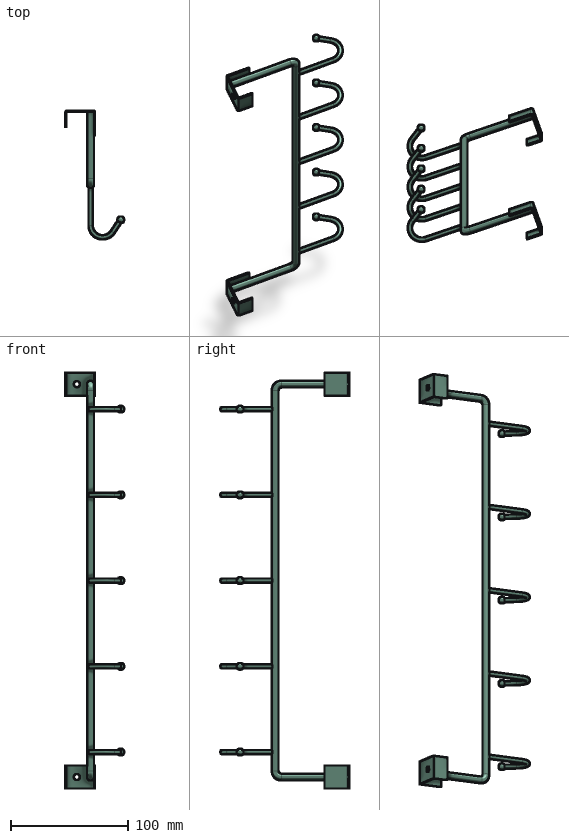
import cadquery as cq
import math

total_height = 355.0
total_depth = 110.0
total_width = 50.5

bracket_width = 25.5
bracket_height = 20.0
sheet_thickness = 1.2
outer_bend_radius = 1.8
short_flange_depth = 14.0
long_flange_depth = 21.3
flange_corner_radius = 1.0
screw_hole_diameter = 5.0
screw_hole_x = 10.0

rod_diameter = 6.0
rod_bend_radius = 5.5
rod_axis_depth = 63.2
rod_x = 21.5
bracket_z = (total_height - bracket_height) / 2

hook_count = 5
hook_pitch = 73.0
hook_diameter = 4.0
hook_bend_radius = 10.3
hook_tip_angle = math.radians(33.5)
ball_diameter = 6.0


def make_bracket():
    """U-shaped sheet bracket centred on Z = 0, with its screw hole."""
    inner_width = bracket_width - 2 * sheet_thickness
    outside = (
        cq.Workplane("XY")
        .box(bracket_width, long_flange_depth, bracket_height, centered=(False, False, True))
        .translate((0, -long_flange_depth, 0))
        .edges("|Z and >Y")
        .fillet(outer_bend_radius)
    )
    inside = (
        cq.Workplane("XY")
        .box(inner_width, long_flange_depth, bracket_height, centered=(False, False, True))
        .translate((sheet_thickness, -long_flange_depth - sheet_thickness, 0))
    )
    short_side_trim = (
        cq.Workplane("XY")
        .box(sheet_thickness, long_flange_depth, bracket_height, centered=(False, False, True))
        .translate((0, -long_flange_depth - short_flange_depth, 0))
    )
    screw_hole = (
        cq.Workplane("XZ")
        .center(screw_hole_x, 0)
        .circle(screw_hole_diameter / 2)
        .extrude(sheet_thickness)
    )
    sheet = outside.cut(inside).cut(short_side_trim)
    return (
        sheet
        .edges("|X and (not >Y)")
        .edges(cq.selectors.LengthNthSelector(0))
        .fillet(flange_corner_radius)
        .cut(screw_hole)
    )


def make_rod():
    """Main rod swept from the upper bracket to the lower one."""
    leg_end_y = -(rod_axis_depth - rod_bend_radius)
    bar_end_z = bracket_z - rod_bend_radius
    leg_start_y = -sheet_thickness / 2
    path = (
        cq.Workplane("YZ", origin=(rod_x, 0, 0))
        .moveTo(leg_start_y, bracket_z)
        .lineTo(leg_end_y, bracket_z)
        .tangentArcPoint((-rod_axis_depth, bar_end_z), relative=False)
        .lineTo(-rod_axis_depth, -bar_end_z)
        .tangentArcPoint((leg_end_y, -bracket_z), relative=False)
        .lineTo(leg_start_y, -bracket_z)
    )
    section = cq.Workplane("XZ", origin=(rod_x, leg_start_y, bracket_z)).circle(rod_diameter / 2)
    return section.sweep(path)


def make_hook():
    """One hook in the Z = 0 plane, starting on the axis of the main rod."""
    bend_x = rod_x + hook_bend_radius
    bend_y = -(total_depth - hook_diameter / 2 - hook_bend_radius)
    bend_end_x = bend_x + hook_bend_radius * math.cos(hook_tip_angle)
    bend_end_y = bend_y - hook_bend_radius * math.sin(hook_tip_angle)
    ball_x = total_width - ball_diameter / 2
    ball_y = bend_end_y + (ball_x - bend_end_x) / math.tan(hook_tip_angle)
    path = (
        cq.Workplane("XY")
        .moveTo(rod_x, -rod_axis_depth)
        .lineTo(rod_x, bend_y)
        .tangentArcPoint((bend_end_x, bend_end_y), relative=False)
        .lineTo(ball_x, ball_y)
    )
    section = cq.Workplane("XZ", origin=(rod_x, -rod_axis_depth, 0)).circle(hook_diameter / 2)
    ball = cq.Workplane("XY").sphere(ball_diameter / 2).translate((ball_x, ball_y, 0))
    return section.sweep(path).union(ball)


result = make_rod()

bracket = make_bracket()
for z in (-bracket_z, bracket_z):
    result = result.union(bracket.translate((0, 0, z)))

hook = make_hook()
lowest_hook_z = -hook_pitch * (hook_count - 1) / 2
for index in range(hook_count):
    result = result.union(hook.translate((0, 0, lowest_hook_z + index * hook_pitch)))